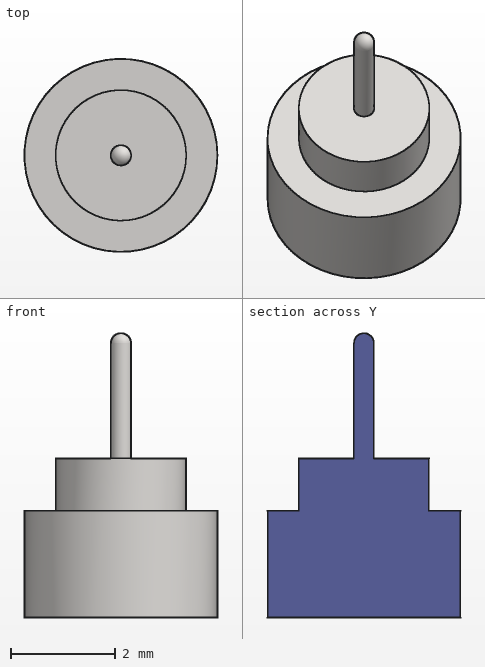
import cadquery as cq

total_height = 5.45
base_diameter = 3.7
base_height = 2.05
neck_diameter = 2.5
neck_height = 1.0
insulator_diameter = 1.95
pin_diameter = 0.39

neck_top = base_height + neck_height
pin_radius = pin_diameter / 2
pin_shoulder = total_height - pin_radius


def cylinder(diameter, bottom, top):
    """Vertical cylinder on the Z axis between two heights."""
    return cq.Workplane("XY").workplane(offset=bottom).circle(diameter / 2).extrude(top - bottom)


def make_body():
    """Stepped body with a flush insulator, whose outline stays as an edge on the neck face."""
    base = cylinder(base_diameter, 0, base_height)
    neck = cylinder(neck_diameter, base_height, neck_top)
    insulator = cylinder(insulator_diameter, base_height, neck_top)
    return base.union(neck).union(insulator, clean=False)


def make_pin():
    """Centre pin, rooted in the base, with a hemispherical tip."""
    shank = cylinder(pin_diameter, base_height, pin_shoulder)
    tip = cq.Workplane("XY").sphere(pin_radius).translate((0, 0, pin_shoulder))
    return shank.union(tip)


result = make_body().union(make_pin(), clean=False)